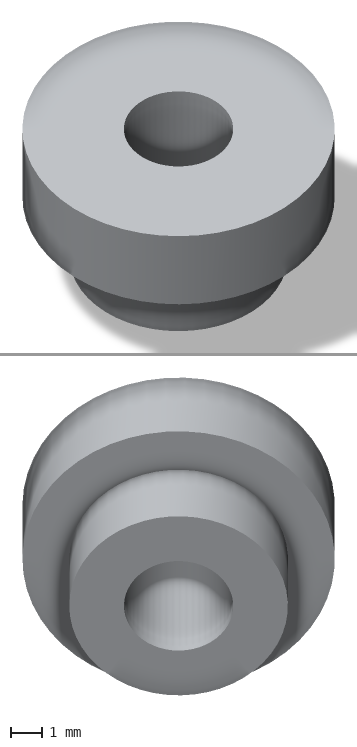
import cadquery as cq

head_diameter = 10
head_height = 3
spigot_diameter = 7
spigot_height = 2.6
bore_diameter = 3.5

spigot = cq.Workplane("XY").circle(spigot_diameter / 2).extrude(spigot_height)

head = (
    cq.Workplane("XY")
    .workplane(offset=spigot_height)
    .circle(head_diameter / 2)
    .extrude(head_height)
)

total_height = spigot_height + head_height
bore = cq.Workplane("XY").circle(bore_diameter / 2).extrude(total_height)

result = spigot.union(head).cut(bore)